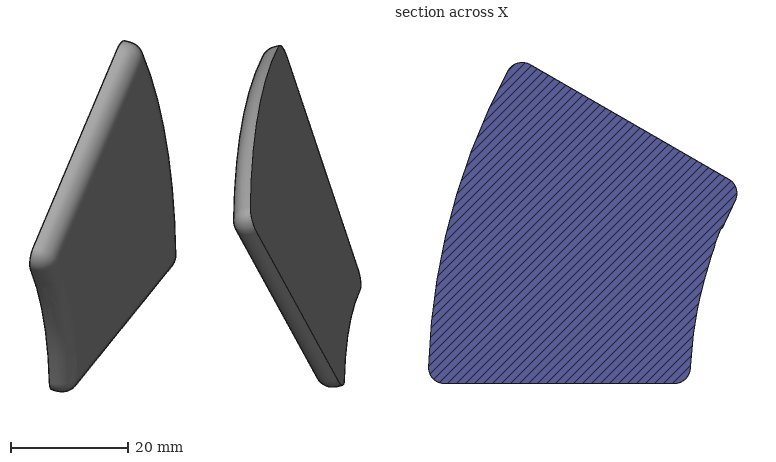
import cadquery as cq
import math

outer_radius = 114.0
inner_radius = 69.0
sector_angle = 30.0
side_gap = 0.4
thickness = 4.0
round_radius = 3.0


def side_point(radius, angle):
    """Point on a straight side, at a radius from the ring axis.

    The bottom side lies side_gap above the 0 degree boundary, and the
    slanted side is its mirror image about the middle of the sector.
    """
    gap_angle = math.degrees(math.asin(side_gap / radius))
    inward = gap_angle if angle == 0 else -gap_angle
    return ring_point(radius, angle + inward)


def ring_point(radius, angle):
    """Point (Y, Z) at a radius and angle about the ring axis."""
    turn = math.radians(angle)
    return (radius * math.cos(turn), radius * math.sin(turn))


def sector_plate():
    """Sharp-edged ring sector in the YZ plane, extruded along +X."""
    middle = sector_angle / 2
    return (
        cq.Workplane("YZ")
        .moveTo(*side_point(inner_radius, 0))
        .lineTo(*side_point(outer_radius, 0))
        .threePointArc(ring_point(outer_radius, middle), side_point(outer_radius, sector_angle))
        .lineTo(*side_point(inner_radius, sector_angle))
        .threePointArc(ring_point(inner_radius, middle), side_point(inner_radius, 0))
        .close()
        .extrude(thickness)
    )


def round_over(plate):
    """Round the four upright corners and the +X rim together, meeting in ball corners."""
    return plate.edges("|X or >X").fillet(round_radius)


result = round_over(sector_plate())